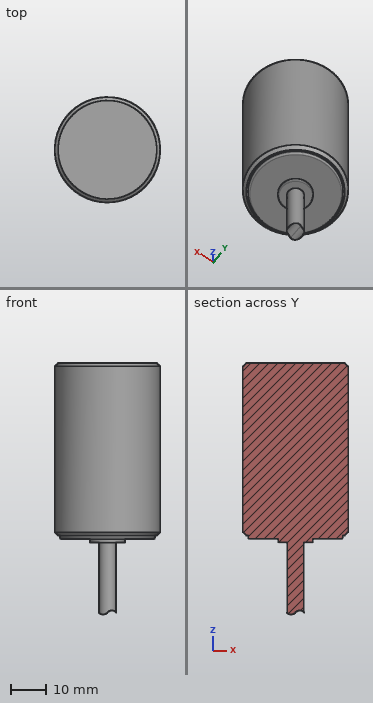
import cadquery as cq

total_height = 71.4
body_diameter = 30.0
body_height = 49.0
body_chamfer = 1.0

collar_diameter = 27.0
collar_height = 1.0
collar_fillet = 0.5
gland_diameter = 10.0
gland_height = 1.0
gland_fillet = 0.2

cable_diameter = 4.9
wave_depth = 0.6

body_bottom = total_height - body_height
collar_bottom = body_bottom - collar_height
gland_bottom = collar_bottom - gland_height


def disc(diameter, bottom, height):
    """Upright cylinder centred on the Z axis."""
    return cq.Workplane("XY").workplane(offset=bottom).circle(diameter / 2).extrude(height)


def broken_cable():
    """Cable whose end is cut along Y by one downward and one upward arc."""
    radius = cable_diameter / 2
    profile = (
        cq.Workplane("XZ")
        .moveTo(-radius, gland_bottom)
        .lineTo(-radius, wave_depth)
        .threePointArc((-radius / 2, 0), (0, wave_depth))
        .threePointArc((radius / 2, 2 * wave_depth), (radius, wave_depth))
        .lineTo(radius, gland_bottom)
        .close()
        .extrude(radius, both=True)
    )
    return disc(cable_diameter, 0, gland_bottom).intersect(profile)


body = disc(body_diameter, body_bottom, body_height).faces("<Z or >Z").chamfer(body_chamfer)
collar = disc(collar_diameter, collar_bottom, collar_height).edges("<Z").fillet(collar_fillet)
gland = disc(gland_diameter, gland_bottom, gland_height).edges("<Z").fillet(gland_fillet)

result = body.union(collar).union(gland).union(broken_cable())